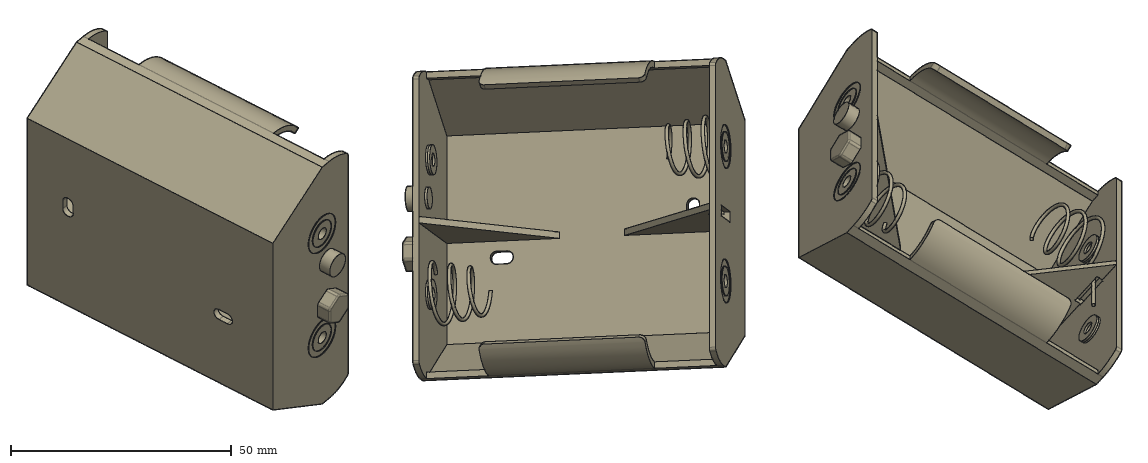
import cadquery as cq
import math

overall_width = 74.2
width = 70.7
height = 70.7
overall_depth = 30.5
plate_depth = 27.75
wall = 1.5

cell_axis_y = 18.2
cell_axis_z = 15.5
slope_height = 10.45

clip_start_y = 20.7
clip_radius = 11.5
clip_width = 38.7
clip_corner_round = 1.3
plate_corner_round = 1.0

mount_slot_length = 5.35
mount_slot_width = 3.0
mount_slot_z = 4.5
upright_slot_x = -23.6
level_slot_x = 21.1

wire_slot_length = 8.3
wire_slot_width = 2.45

contact_radius = 3.4
contact_bore_radius = 1.5
contact_thickness = 0.5
collar_height = 0.45
groove_radius = 5.0
groove_depth = 0.2

wire_diameter = 0.8
link_wire_y = 19.6
spring_base_radius = 7.35
spring_pitch = 4.45
spring_turns = 2.9
spring_cone_angle = 10.0
spring_start_angle = -130.0

control_y = 20.0
control_z = 6.4
lamp_diameter = 5.8
lamp_stem_diameter = 5.0
lamp_length = 3.0
lamp_inner_length = 0.6
nut_across_flats = 7.1
nut_length = overall_width - width
nut_corner_round = 0.9
nut_rim_round = 0.4

outer_x = width / 2
inner_x = outer_x - wall
top_z = height / 2
front_z = top_z - slope_height
clip_center_z = top_z - clip_radius


def clip_arc_point(radius, angle):
    """Point (Y, Z) on the clip's bend; the angle starts at the top wall."""
    return (clip_start_y + radius * math.sin(angle), clip_center_z + radius * math.cos(angle))


def along_x(start_x, y=0, z=0):
    """Sketch plane facing +X whose own axes are Y and Z."""
    return cq.Workplane("YZ", origin=(start_x, y, z))


def half_turn(body):
    """The same body in the opposite cell, facing the other way."""
    return body.rotate((0, 0, 0), (0, 1, 0), 180)


def at_each_contact(upper):
    """Copies of an upper -X end plate feature at both cells of both end plates."""
    lower = upper.mirror("XY")
    return [upper, lower, half_turn(upper), half_turn(lower)]


def trough_outline(start_x, open_y):
    return along_x(start_x).polyline([
        (0, -front_z),
        (0, front_z),
        (cell_axis_y, top_z),
        (open_y, top_z),
        (open_y, -top_z),
        (cell_axis_y, -top_z),
    ]).close()


def make_trough():
    """Front wall, two sloped walls and two side walls, open at the back."""
    outside = trough_outline(-outer_x, clip_start_y).extrude(width)
    inside = trough_outline(-outer_x, clip_start_y + wall).offset2D(-wall, "intersection").extrude(width)
    return outside.cut(inside)


def make_end_plate(start_x):
    back_angle = math.asin((plate_depth - clip_start_y) / clip_radius)
    mid_y, mid_z = clip_arc_point(clip_radius, back_angle / 2)
    back_y, back_z = clip_arc_point(clip_radius, back_angle)
    plate = (
        along_x(start_x)
        .moveTo(0, -front_z)
        .lineTo(0, front_z)
        .lineTo(cell_axis_y, top_z)
        .lineTo(clip_start_y, top_z)
        .threePointArc((mid_y, mid_z), (back_y, back_z))
        .lineTo(back_y, -back_z)
        .threePointArc((mid_y, -mid_z), (clip_start_y, -top_z))
        .lineTo(cell_axis_y, -top_z)
        .close()
        .extrude(wall)
    )
    return plate.faces(">Y").edges("|X").fillet(plate_corner_round)


def make_clip():
    """Curved lip that continues the top wall around the cell."""
    inner_radius = clip_radius - wall
    tip_angle = math.asin((overall_depth - clip_start_y) / clip_radius)
    clip = (
        along_x(-clip_width / 2)
        .moveTo(clip_start_y, top_z)
        .threePointArc(clip_arc_point(clip_radius, tip_angle / 2), clip_arc_point(clip_radius, tip_angle))
        .lineTo(*clip_arc_point(inner_radius, tip_angle))
        .threePointArc(clip_arc_point(inner_radius, tip_angle / 2), clip_arc_point(inner_radius, 0))
        .close()
        .extrude(clip_width)
    )
    tip_direction = cq.Vector(0, math.sin(tip_angle), math.cos(tip_angle))
    return clip.edges(cq.selectors.ParallelDirSelector(tip_direction)).fillet(clip_corner_round)


def make_gusset():
    """Triangular 45 degree web between the cells, from the -X end plate to the front wall."""
    return (
        cq.Workplane("XY")
        .polyline([(-inner_x, wall), (-inner_x, plate_depth), (-inner_x + plate_depth - wall, wall)])
        .close()
        .extrude(wall / 2, both=True)
    )


def mount_slot(x, z, angle):
    return (
        cq.Workplane("XZ", origin=(x, 0, z))
        .slot2D(mount_slot_length, mount_slot_width, angle)
        .extrude(-wall)
    )


def make_collar():
    """Collar inside the -X end plate that carries the upper contact."""
    return along_x(-inner_x, cell_axis_y, cell_axis_z).circle(contact_radius).extrude(collar_height)


def make_contact_opening():
    """Shallow ring groove outside the -X end plate and the bore through plate and collar."""
    seat = along_x(-outer_x, cell_axis_y, cell_axis_z)
    groove = seat.circle(groove_radius).circle(contact_radius).extrude(groove_depth)
    bore = seat.circle(contact_bore_radius).extrude(wall + collar_height)
    return groove.add(bore).combine()


def make_housing():
    body = make_trough()
    for start_x in (-outer_x, inner_x):
        body = body.union(make_end_plate(start_x))
    clip = make_clip()
    gusset = make_gusset()
    for part in (clip, gusset):
        body = body.union(part).union(half_turn(part))

    body = body.cut(mount_slot(upright_slot_x, mount_slot_z, 90))
    body = body.cut(mount_slot(level_slot_x, -mount_slot_z, 0))

    wire_slot = along_x(-outer_x, cell_axis_y).rect(wire_slot_length, wire_slot_width).extrude(2 * wall)
    body = body.cut(wire_slot)

    for collar in at_each_contact(make_collar()):
        body = body.union(collar)
    for opening in at_each_contact(make_contact_opening()):
        body = body.cut(opening)

    lamp_hole = along_x(inner_x, control_y, control_z).circle(lamp_stem_diameter / 2).extrude(wall)
    return body.cut(lamp_hole)


def make_contact():
    """Contact ring on the upper collar of the -X end plate."""
    return (
        along_x(-inner_x + collar_height, cell_axis_y, cell_axis_z)
        .circle(contact_radius)
        .circle(contact_bore_radius)
        .extrude(contact_thickness)
    )


def make_spring():
    """Conical spring of the upper cell, wide end on the -X end plate."""
    path = cq.Wire.makeHelix(
        spring_pitch,
        spring_pitch * spring_turns,
        spring_base_radius,
        angle=-spring_cone_angle,
    )
    coil = (
        cq.Workplane("XZ", origin=(spring_base_radius, 0, 0))
        .circle(wire_diameter / 2)
        .sweep(cq.Workplane(path), isFrenet=True)
    )
    return (
        coil.rotate((0, 0, 0), (0, 0, 1), 90 + spring_start_angle)
        .rotate((0, 0, 0), (0, 1, 0), 90)
        .translate((-inner_x + wire_diameter / 2, cell_axis_y, cell_axis_z))
    )


def make_link_wire():
    """Straight wire along the -X end plate, spanning the gap between the two cells' contact areas."""
    half_length = cell_axis_z - spring_base_radius - wire_diameter / 2
    return (
        cq.Workplane("XY", origin=(-inner_x + wire_diameter / 2, link_wire_y, -half_length))
        .circle(wire_diameter / 2)
        .extrude(2 * half_length)
    )


def make_lamp():
    stem_length = wall + lamp_inner_length
    cap = along_x(outer_x, control_y, control_z).circle(lamp_diameter / 2).extrude(lamp_length)
    stem = (
        along_x(outer_x, control_y, control_z)
        .circle(lamp_stem_diameter / 2)
        .extrude(-stem_length)
    )
    return cap.union(stem)


def make_nut():
    """Hexagon with flats facing front and back, rounded corners and a rounded rim."""
    hexagon = (
        along_x(outer_x, control_y, -control_z)
        .polygon(6, nut_across_flats, circumscribed=True)
        .extrude(nut_length)
    )
    return hexagon.edges("|X").fillet(nut_corner_round).faces(">X").edges().fillet(nut_rim_round)


housing = make_housing()
contacts = [contact.val() for contact in at_each_contact(make_contact())]
spring = make_spring()
springs = [spring.val(), half_turn(spring).val()]
link_wire = make_link_wire()
lamp = make_lamp()
nut = make_nut()

result = cq.Compound.makeCompound(
    [housing.val(), *contacts, *springs, link_wire.val(), lamp.val(), nut.val()]
)